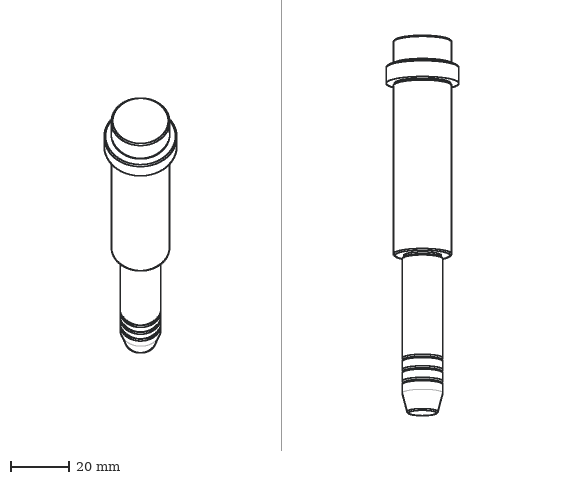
import cadquery as cq

total_length = 130.0
body_bottom = 55.0
collar_bottom = 115.0
collar_top = 121.0

collar_radius = 25.0 / 2
body_radius = 20.0 / 2
pin_radius = 14.0 / 2
tip_radius = 5.3

edge_chamfer = 0.5
collar_chamfer = 0.5
relief_depth = 0.4
relief_height = 0.4
pin_relief_height = 0.6
pin_relief_chamfer = 0.5

taper_height = 7.0
tip_chamfer = 0.5

groove_count = 3
lowest_groove = 10.5
groove_pitch = 4.0
groove_width = 1.2
groove_depth = 0.5


def v_groove(center):
    """Profile points of a V-groove in the pin, from bottom to top."""
    return [
        (pin_radius, center - groove_width / 2),
        (pin_radius - groove_depth, center),
        (pin_radius, center + groove_width / 2),
    ]


def pin_profile():
    """Half outline of the pin, from the tip up to the body."""
    points = [
        (0, 0),
        (tip_radius - tip_chamfer, 0),
        (tip_radius, tip_chamfer),
        (pin_radius, taper_height),
    ]
    for index in range(groove_count):
        points += v_groove(lowest_groove + index * groove_pitch)
    relief_radius = pin_radius - pin_relief_chamfer
    relief_bottom = body_bottom - pin_relief_height
    points += [
        (pin_radius, relief_bottom - pin_relief_chamfer),
        (relief_radius, relief_bottom),
        (relief_radius, body_bottom),
    ]
    return points


def body_profile():
    """Half outline of the body, collar and head, from bottom to top."""
    relief_radius = body_radius - relief_depth
    body_top = collar_bottom - relief_height
    head_bottom = collar_top + relief_height
    return [
        (body_radius - edge_chamfer, body_bottom),
        (body_radius, body_bottom + edge_chamfer),
        (body_radius, body_top - relief_depth),
        (relief_radius, body_top),
        (relief_radius, collar_bottom),
        (collar_radius, collar_bottom),
        (collar_radius, collar_top - collar_chamfer),
        (collar_radius - collar_chamfer, collar_top),
        (relief_radius, collar_top),
        (relief_radius, head_bottom),
        (body_radius, head_bottom + relief_depth),
        (body_radius, total_length - edge_chamfer),
        (body_radius - edge_chamfer, total_length),
        (0, total_length),
    ]


result = (
    cq.Workplane("XZ")
    .polyline(pin_profile() + body_profile())
    .close()
    .revolve(360, (0, 0, 0), (0, 1, 0))
)